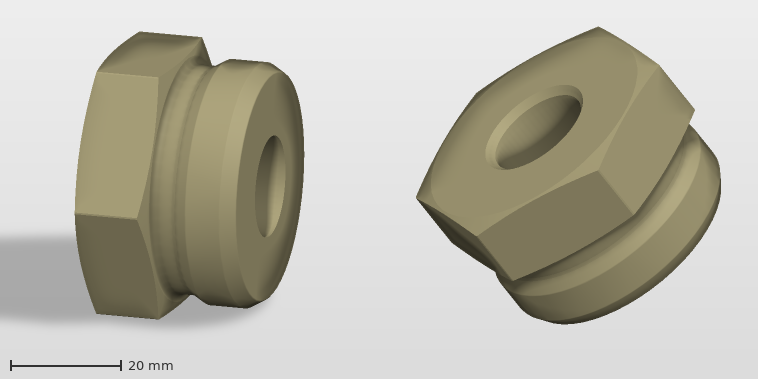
import cadquery as cq
import math

total_length = 30.0
head_length = 14.0
across_flats = 46.0
corner_diameter = 52.95
head_face_diameter = 45.0
head_chamfer_angle = 15.0

collar_diameter = 45.0
neck_diameter = 41.9
collar_start = 20.8
cone_angle = 30.0
neck_fillet = 1.25
collar_edge_radius = 0.55
end_edge_radius = 0.3

bore_diameter = 18.65
countersink_diameter = 21.3
countersink_angle = 45.0

head_face_radius = head_face_diameter / 2
corner_radius = corner_diameter / 2
collar_radius = collar_diameter / 2
neck_radius = neck_diameter / 2
bore_radius = bore_diameter / 2


def revolve_profile(points):
    """Revolve a closed (x, radius) outline around the X axis."""
    return cq.Workplane("XY").polyline(points).close().revolve(360, (0, 0, 0), (1, 0, 0))


def make_head():
    """Hexagon with corners on Y, trimmed by a turned blank chamfered at both ends."""
    hexagon = (
        cq.Workplane("YZ")
        .polygon(6, across_flats / math.cos(math.radians(30)))
        .extrude(head_length)
    )
    chamfer_length = (corner_radius - head_face_radius) * math.tan(math.radians(head_chamfer_angle))
    blank = revolve_profile([
        (0, 0),
        (0, head_face_radius),
        (chamfer_length, corner_radius),
        (head_length - chamfer_length, corner_radius),
        (head_length, head_face_radius),
        (head_length, 0),
    ])
    return hexagon.intersect(blank)


def round_circle_at(body, x, radius):
    """Round the turned edge lying in the plane at the given x."""
    plane_tolerance = 0.005
    edges = [edge for edge in body.edges().vals() if abs(edge.Center().x - x) < plane_tolerance
             and edge.geomType() == "CIRCLE"]
    return body.newObject(edges).fillet(radius)


def make_collar():
    """Neck with a rounded root at the head, then a collar coned at both ends."""
    cone_length = (collar_radius - neck_radius) / math.tan(math.radians(cone_angle))
    first_cone_start = collar_start - cone_length
    collar_end = total_length - cone_length
    body = (
        cq.Workplane("XY")
        .moveTo(head_length, 0)
        .lineTo(head_length, neck_radius + neck_fillet)
        .radiusArc((head_length + neck_fillet, neck_radius), -neck_fillet)
        .lineTo(first_cone_start, neck_radius)
        .lineTo(collar_start, collar_radius)
        .lineTo(collar_end, collar_radius)
        .lineTo(total_length, neck_radius)
        .lineTo(total_length, 0)
        .close()
        .revolve(360, (0, 0, 0), (1, 0, 0))
    )
    body = round_circle_at(body, first_cone_start, neck_fillet)
    for x in (collar_start, collar_end):
        body = round_circle_at(body, x, collar_edge_radius)
    return round_circle_at(body, total_length, end_edge_radius)


def make_bore():
    """Through bore with a countersink at the head face."""
    countersink_radius = countersink_diameter / 2
    countersink_depth = (countersink_radius - bore_radius) / math.tan(math.radians(countersink_angle))
    return revolve_profile([
        (0, 0),
        (0, countersink_radius),
        (countersink_depth, bore_radius),
        (total_length, bore_radius),
        (total_length, 0),
    ])


result = make_head().union(make_collar()).cut(make_bore())